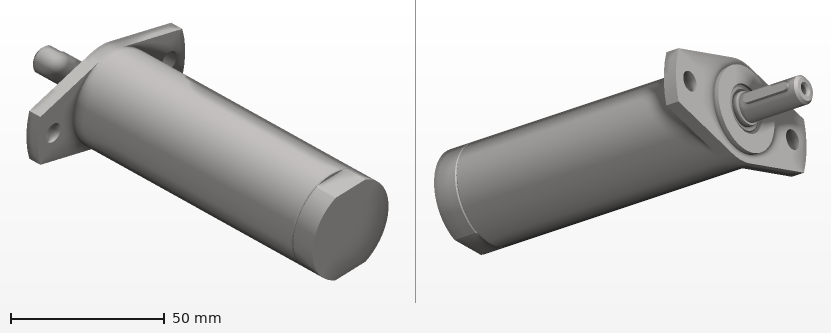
import cadquery as cq
import math

seal_front = 23.4
pilot_front = 24.2
flange_front = 26.3
flange_thickness = 5.0
cap_joint = 129.5
motor_end = 138.5

body_diameter = 36.0
body_radius = body_diameter / 2
joint_chamfer = 0.4
pilot_diameter = 30.0
cap_across_flats = 33.1

flange_width = 70.0
flange_edge_angle = 15.0
bolt_spacing = 55.0
bolt_hole_diameter = 7.0

recess_diameter = 17.0
recess_depth = 1.0
seal_ring_diameter = 15.5
ring_crest_outer_diameter = 14.7
ring_crest_inner_diameter = 13.7
ring_crest_drop = 0.5
lip_diameter = 11.9
lip_tip_diameter = 11.5
lip_chamfer_length = 0.4
lip_groove_depth = 1.1

shaft_diameter = 10.0
shaft_radius = shaft_diameter / 2
shaft_chamfer = 1.0
center_hole_diameter = 3.2
center_hole_depth = 10.0
center_sink_diameter = 4.8
center_sink_depth = (center_sink_diameter - center_hole_diameter) / 2
drill_point_angle = 118.0

key_start = 2.9
key_length = 18.0
key_width = 3.0
key_top = 6.1


def revolved(profile):
    """Turn a closed (x, radius) profile around the X axis."""
    sketch = cq.Workplane("XY").polyline(profile).close()
    return sketch.revolve(360, (0, 0, 0), (1, 0, 0))


def make_housing():
    """Tube and end cap, with a V groove where they meet and two flats on the cap."""
    groove_radius = body_radius - joint_chamfer
    housing = revolved([
        (flange_front, 0),
        (flange_front, body_radius),
        (cap_joint - joint_chamfer, body_radius),
        (cap_joint, groove_radius),
        (cap_joint + joint_chamfer, body_radius),
        (motor_end, body_radius),
        (motor_end, 0),
    ])
    cap_length = motor_end - cap_joint
    for side in (-1, 1):
        flat_cutter = (
            cq.Workplane("XY")
            .box(cap_length, body_diameter, body_diameter, centered=(False, True, True))
            .translate((cap_joint, 0, side * (cap_across_flats + body_diameter) / 2))
        )
        housing = housing.cut(flat_cutter)
    return housing


def make_flange():
    """Plate whose sloping edges run tangent to the body, with round ends.

    Its middle is flat and lies inside the body, which fills the round between the sloping edges.
    """
    angle = math.radians(flange_edge_angle)
    end_radius = flange_width / 2
    tangent_y = body_radius * math.sin(angle)
    tangent_z = body_radius * math.cos(angle)
    corner_angle = math.pi / 2 - angle - math.acos(body_radius / end_radius)
    corner_y = end_radius * math.cos(corner_angle)
    corner_z = end_radius * math.sin(corner_angle)
    plate = (
        cq.Workplane("YZ", origin=(flange_front, 0, 0))
        .moveTo(-tangent_y, tangent_z)
        .lineTo(tangent_y, tangent_z)
        .lineTo(corner_y, corner_z)
        .threePointArc((end_radius, 0), (corner_y, -corner_z))
        .lineTo(tangent_y, -tangent_z)
        .lineTo(-tangent_y, -tangent_z)
        .lineTo(-corner_y, -corner_z)
        .threePointArc((-end_radius, 0), (-corner_y, corner_z))
        .close()
        .extrude(flange_thickness)
    )
    bolt_holes = (
        cq.Workplane("YZ", origin=(flange_front, 0, 0))
        .pushPoints([(-bolt_spacing / 2, 0), (bolt_spacing / 2, 0)])
        .circle(bolt_hole_diameter / 2)
        .extrude(flange_thickness)
    )
    return plate.cut(bolt_holes)


def make_pilot():
    """Centring boss in front of the flange."""
    pilot = cq.Workplane("YZ", origin=(pilot_front, 0, 0)).circle(pilot_diameter / 2)
    return pilot.extrude(flange_front - pilot_front)


def make_seal_recess():
    """Space in front of the seal: a shallow bore, a ring with sloping sides and a groove around the lip."""
    floor = pilot_front + recess_depth
    crest = pilot_front + ring_crest_drop
    return revolved([
        (seal_front, lip_diameter / 2),
        (seal_front, recess_diameter / 2),
        (floor, recess_diameter / 2),
        (floor, seal_ring_diameter / 2),
        (crest, ring_crest_outer_diameter / 2),
        (crest, ring_crest_inner_diameter / 2),
        (pilot_front + lip_groove_depth, lip_diameter / 2),
    ])


def make_seal_lip():
    """Chamfered collar that stands out of the pilot around the shaft."""
    return revolved([
        (seal_front, 0),
        (seal_front, lip_tip_diameter / 2),
        (seal_front + lip_chamfer_length, lip_diameter / 2),
        (flange_front, lip_diameter / 2),
        (flange_front, 0),
    ])


def make_shaft():
    """Output shaft with a chamfered tip and a countersunk centre hole."""
    shaft = revolved([
        (0, 0),
        (0, shaft_radius - shaft_chamfer),
        (shaft_chamfer, shaft_radius),
        (flange_front, shaft_radius),
        (flange_front, 0),
    ])
    hole_radius = center_hole_diameter / 2
    point_length = hole_radius / math.tan(math.radians(drill_point_angle / 2))
    center_hole = revolved([
        (0, 0),
        (0, center_sink_diameter / 2),
        (center_sink_depth, hole_radius),
        (center_hole_depth, hole_radius),
        (center_hole_depth + point_length, 0),
    ])
    return shaft.cut(center_hole)


def make_key():
    """Round-ended key of square section, seated in the shaft clear of the centre hole."""
    return (
        cq.Workplane("XZ", origin=(key_start + key_length / 2, key_top, 0))
        .slot2D(key_length, key_width)
        .extrude(key_width)
    )


result = (
    make_housing()
    .union(make_flange())
    .union(make_pilot())
    .cut(make_seal_recess())
    .union(make_seal_lip())
    .union(make_shaft())
    .union(make_key())
)